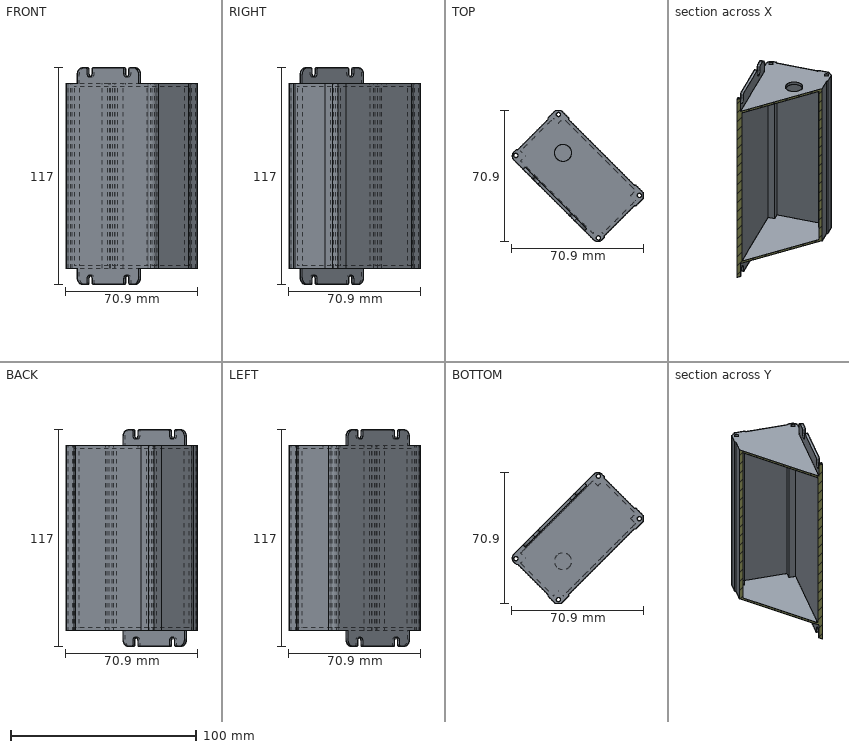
import cadquery as cq
import math

width = 67.2
depth = 37.0
height = 100.0
front_corner_radius = 3.0
back_corner_chamfer = 2.2
turn_angle = -45.0

corner_round_loss = front_corner_radius * (2 - math.sqrt(2))
depth_offset = (back_corner_chamfer - corner_round_loss) / 2
front_y = depth_offset - depth / 2
back_y = depth_offset + depth / 2

recess_depth = 0.6
back_recess_half_width = 25.6
side_recess_front_inset = 4.9
side_recess_back_inset = 7.9

wall = 1.6
corner_block = 6.0

screw_diameter = 2.2
front_screw_x = 31.5
front_screw_inset = 2.5
back_screw_x = 30.9
back_screw_inset = 2.6

cable_diameter = 9.2
cable_x = -14.5
cable_y = 3.2

tab_width = 47.0
tab_height = 8.5
tab_thickness = 1.6
tab_corner_radius = 4.0
slot_width = 3.8
slot_depth = 5.0
slot_mouth_radius = 1.0
slot_spacing = 28.0


def make_body():
    block = cq.Workplane("XY").box(width, depth, height).translate((0, depth_offset, 0))
    block = block.edges("|Z and <Y").fillet(front_corner_radius)
    return block.edges("|Z and >Y").chamfer(back_corner_chamfer)


def recess_cutter(points):
    return cq.Workplane("XY").polyline(points).close().extrude(height / 2, both=True)


def back_recess():
    floor_half_width = back_recess_half_width - recess_depth
    floor_y = back_y - recess_depth
    return recess_cutter([
        (-back_recess_half_width, back_y),
        (-floor_half_width, floor_y),
        (floor_half_width, floor_y),
        (back_recess_half_width, back_y),
    ])


def side_recess(side):
    front_end = front_y + side_recess_front_inset
    back_end = back_y - side_recess_back_inset
    outer_x = side * width / 2
    floor_x = side * (width / 2 - recess_depth)
    return recess_cutter([
        (outer_x, front_end),
        (floor_x, front_end + recess_depth),
        (floor_x, back_end - recess_depth),
        (outer_x, back_end),
    ])


def make_cavity():
    """Interior space with a solid block left in each corner for the screws."""
    side_wall = wall + recess_depth
    inner_height = height - 2 * wall
    across = cq.Workplane("XY").box(width - 2 * side_wall, depth - 2 * corner_block, inner_height)
    along = cq.Workplane("XY").box(width - 2 * corner_block, depth - 2 * side_wall, inner_height)
    return across.union(along).translate((0, depth_offset, 0))


def screw_holes():
    front_screw_y = front_y + front_screw_inset
    back_screw_y = back_y - back_screw_inset
    centres = [
        (-front_screw_x, front_screw_y),
        (front_screw_x, front_screw_y),
        (-back_screw_x, back_screw_y),
        (back_screw_x, back_screw_y),
    ]
    holes = cq.Workplane("XY").pushPoints(centres).circle(screw_diameter / 2)
    return holes.extrude(height / 2, both=True)


def cable_opening():
    opening = cq.Workplane("XY").center(cable_x, cable_y).circle(cable_diameter / 2)
    return opening.extrude(wall).translate((0, 0, height / 2 - wall))


def slot_cutter(slot_x, floor_centre, tab_top):
    """Open slot with a round floor and a mouth flaring out along two arcs."""
    half_width = slot_width / 2
    mouth_half_width = half_width + slot_mouth_radius
    mouth_start = tab_top - slot_mouth_radius
    outline = (
        cq.Workplane("XZ", origin=(slot_x, front_y, 0))
        .moveTo(-mouth_half_width, tab_top)
        .radiusArc((-half_width, mouth_start), slot_mouth_radius)
        .lineTo(-half_width, floor_centre)
        .threePointArc((0, floor_centre - half_width), (half_width, floor_centre))
        .lineTo(half_width, mouth_start)
        .radiusArc((mouth_half_width, tab_top), slot_mouth_radius)
        .close()
    )
    return outline.extrude(-tab_thickness)


def make_top_tab():
    """Upper tab with two open slots, rooted in the top wall."""
    tab_base = height / 2 - wall
    tab_top = height / 2 + tab_height
    slot_radius = slot_width / 2
    slot_floor_centre = tab_top - slot_depth + slot_radius
    tab = (
        cq.Workplane("XY")
        .box(tab_width, tab_thickness, tab_top - tab_base, centered=(True, False, False))
        .edges("|Y and >Z")
        .fillet(tab_corner_radius)
        .translate((0, front_y, tab_base))
    )
    for slot_x in (-slot_spacing / 2, slot_spacing / 2):
        tab = tab.cut(slot_cutter(slot_x, slot_floor_centre, tab_top))
    return tab


body = make_body()
body = body.cut(back_recess())
for side in (-1, 1):
    body = body.cut(side_recess(side))
body = body.cut(make_cavity()).cut(screw_holes()).cut(cable_opening())

top_tab = make_top_tab()
body = body.union(top_tab).union(top_tab.mirror("XY"))

result = body.rotate((0, 0, 0), (0, 0, 1), turn_angle)